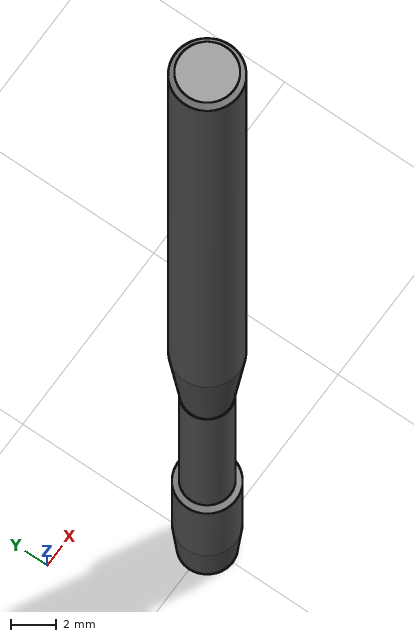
import cadquery as cq

total_length = 56.0

shank_diameter = 3.5
taper_top = 23.0
shank_chamfer = 0.3
taper_end_diameter = 2.45

neck_diameter = 2.5
neck_top = 18.05
head_diameter = 3.15
head_length = 7.9
lead_length = 2.7
tip_diameter = 2.75
head_bevel_height = 0.2


def revolve_profile(points):
    """Turn a closed (radius, height) outline about the Z axis."""
    return cq.Workplane("XZ").polyline(points).close().revolve(360, (0, 0, 0), (0, 1, 0))


def make_shank():
    """Chamfered shank that tapers to slightly less than the neck diameter."""
    shank_radius = shank_diameter / 2
    return revolve_profile([
        (0, neck_top),
        (taper_end_diameter / 2, neck_top),
        (shank_radius, taper_top),
        (shank_radius, total_length - shank_chamfer),
        (shank_radius - shank_chamfer, total_length),
        (0, total_length),
    ])


def make_cutter():
    """Neck above a cutting head that has a conical lead and a beveled shoulder."""
    head_radius = head_diameter / 2
    neck_radius = neck_diameter / 2
    return revolve_profile([
        (0, 0),
        (tip_diameter / 2, 0),
        (head_radius, lead_length),
        (head_radius, head_length - head_bevel_height),
        (neck_radius, head_length),
        (neck_radius, neck_top),
        (0, neck_top),
    ])


shank = make_shank()
cutter = make_cutter()

result = cq.Compound.makeCompound([shank.val(), cutter.val()])